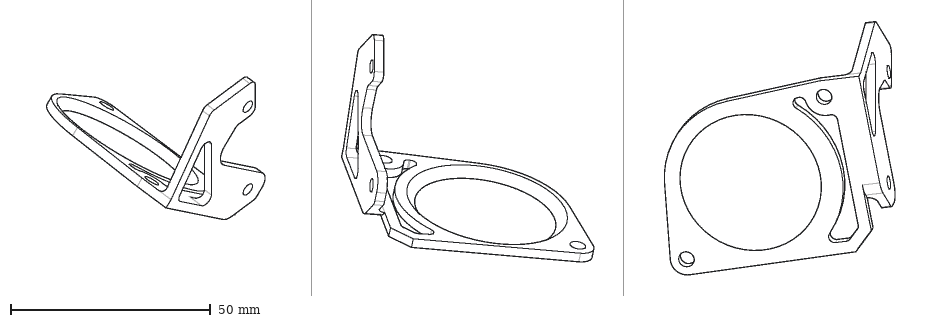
import cadquery as cq
import math

thickness = 2.5
bend_radius = 2.0
bend_width = thickness + bend_radius
rise = thickness / math.sqrt(2)
web = 3.05

ring_center = (-32.65, 24.35)
ring_radius = 22.0
bore_radius = 18.0
far_hole = (-52.7, 42.4)
far_corner_radius = 4.15
near_hole = (-9.85, 4.3)
near_boss_radius = 4.95
plate_hole_diameter = 3.9
front_kink = (-10.25, 0)
bevel = 4.95
far_edge = 45.75
slot_inner_radius = 23.55
slot_corner_radius = 1.5

wall_top = 23.3
wall_bottom = -21.45
wall_back = 31.6
wall_top_front = 16.0
tab_bottom = 11.15
notch_corner = (17.2, 3.25)
notch_radius = 5.05
lobe_corner = (36.75, -16.3)
lobe_radius = 4.0
corner_radius = 2.0
toe_radius = 4.45
wall_hole_diameter = 3.3
wall_hole_y = 28.95
wall_hole_z = (15.2, -15.8)
window_back = 16.05

plate_plane = cq.Plane(origin=(0, 0, 0), xDir=(1, 0, 0), normal=(0, 1, 1))
section_plane = cq.Plane(origin=(0, 0, 0), xDir=(1, 0, 0), normal=(0, -1, 1))
beyond = 113.75


def polar(center, radius, angle):
    return (center[0] + radius * math.cos(angle), center[1] + radius * math.sin(angle))


def tangent_angle(start, start_radius, end, end_radius):
    """Angle of the contact points of the line touching both circles on its left side."""
    span = math.dist(start, end)
    heading = math.atan2(end[1] - start[1], end[0] - start[0])
    return heading + math.acos((start_radius - end_radius) / span)


def rounded_polygon(plane, corners):
    """Closed outline through (x, y, radius) corners; a zero radius stays sharp."""
    sketch = cq.Workplane(plane)
    started = False
    for i, (x, y, radius) in enumerate(corners):
        corner = cq.Vector(x, y)
        to_last = (cq.Vector(*corners[i - 1][:2]) - corner).normalized()
        to_next = (cq.Vector(*corners[(i + 1) % len(corners)][:2]) - corner).normalized()
        half = to_last.getAngle(to_next) / 2
        setback = radius / math.tan(half)
        entry = (corner + to_last * setback).toTuple()[:2]
        sketch = sketch.lineTo(*entry) if started else sketch.moveTo(*entry)
        started = True
        if radius:
            bisector = (to_last + to_next).normalized()
            middle = corner + bisector * (radius / math.sin(half) - radius)
            leave = corner + to_next * setback
            sketch = sketch.threePointArc(middle.toTuple()[:2], leave.toTuple()[:2])
    return sketch.close()


def plate_disc(center, radius):
    return cq.Workplane(plate_plane).center(*center).circle(radius).extrude(thickness)


front_angle = tangent_angle(front_kink, 0, ring_center, ring_radius)
side_angle = tangent_angle(ring_center, ring_radius, far_hole, far_corner_radius)
bevel_start = (-bend_width - bevel, far_edge)
far_angle = tangent_angle(far_hole, far_corner_radius, bevel_start, 0)


def make_plate():
    ring_middle = (front_angle % math.tau + side_angle % math.tau) / 2
    corner_middle = (side_angle % math.tau + far_angle % math.tau) / 2
    return (
        cq.Workplane(plate_plane)
        .moveTo(-bend_width, 0)
        .lineTo(*front_kink)
        .lineTo(*polar(ring_center, ring_radius, front_angle))
        .threePointArc(
            polar(ring_center, ring_radius, ring_middle),
            polar(ring_center, ring_radius, side_angle),
        )
        .lineTo(*polar(far_hole, far_corner_radius, side_angle))
        .threePointArc(
            polar(far_hole, far_corner_radius, corner_middle),
            polar(far_hole, far_corner_radius, far_angle),
        )
        .lineTo(*bevel_start)
        .lineTo(-bend_width, far_edge - bevel)
        .close()
        .extrude(thickness)
    )


def make_slot():
    """Crescent slot beside the ring, curving round the boss of the near hole."""
    right = -bend_width - web
    far = far_edge - web
    bevel_sum = far_edge - bevel - bend_width - web * math.sqrt(2)
    front_direction = front_angle + math.pi / 2
    slope = math.tan(front_direction)
    front = web / math.cos(front_direction) - slope * front_kink[0]
    blank = (
        cq.Workplane(plate_plane)
        .moveTo(right, front + slope * right)
        .lineTo(right, bevel_sum - right)
        .lineTo(bevel_sum - far, far)
        .lineTo(ring_center[0], far)
        .lineTo(ring_center[0], front + slope * ring_center[0])
        .close()
        .extrude(thickness)
    )
    blank = blank.cut(plate_disc(ring_center, slot_inner_radius))
    blank = blank.cut(plate_disc(near_hole, near_boss_radius))
    slot = max(blank.solids().vals(), key=lambda piece: piece.Volume())
    return cq.Workplane(plate_plane).add(slot).edges("|(0, 1, 1)").fillet(slot_corner_radius)


def make_bore():
    return (
        cq.Workplane(plate_plane)
        .center(*ring_center)
        .circle(bore_radius)
        .extrude(thickness, taper=-45)
    )


def make_wall():
    """Wall with its share of the bend and of the plate."""
    tab_neck = notch_corner[0] + tab_bottom - notch_corner[1]
    lobe_bottom = lobe_corner[0] + wall_bottom - lobe_corner[1]
    outline = [
        (0, 0, 0),
        (rise, rise, 0),
        (wall_top_front, wall_top, corner_radius),
        (wall_back, wall_top, corner_radius),
        (wall_back, tab_bottom, corner_radius),
        (tab_neck, tab_bottom, corner_radius),
        (*notch_corner, notch_radius),
        (*lobe_corner, lobe_radius),
        (lobe_bottom, wall_bottom, corner_radius),
        (-wall_bottom, wall_bottom, toe_radius),
    ]
    blank = rounded_polygon("YZ", outline).extrude(-bend_width)
    bend = (
        cq.Workplane(section_plane)
        .lineTo(0, beyond)
        .lineTo(-thickness, beyond)
        .lineTo(-thickness, bend_width)
        .radiusArc((-bend_width, thickness), bend_radius)
        .lineTo(-bend_width, 0)
        .close()
        .extrude(beyond, both=True)
    )
    return blank.intersect(bend)


def make_window():
    """Triangle between a vertical side, the slanted front edge and the plate's top face."""
    run = wall_top_front - rise
    climb = wall_top - rise
    slope = climb / run
    offset_z = rise - slope * rise - web * math.hypot(run, climb) / run
    plate_sum = 2 * rise
    front_y = (plate_sum - offset_z) / (slope + 1)
    corners = [
        (window_back, plate_sum - window_back, corner_radius),
        (front_y, plate_sum - front_y, corner_radius),
        (window_back, offset_z + slope * window_back, corner_radius),
    ]
    return rounded_polygon("YZ", corners).extrude(-bend_width)


plate = make_plate().cut(make_slot()).cut(make_bore())
for hole in (far_hole, near_hole):
    plate = plate.cut(plate_disc(hole, plate_hole_diameter / 2))

wall = make_wall().cut(make_window())
wall_holes = (
    cq.Workplane("YZ")
    .pushPoints([(wall_hole_y, z) for z in wall_hole_z])
    .circle(wall_hole_diameter / 2)
    .extrude(-thickness)
)

result = plate.union(wall.cut(wall_holes))